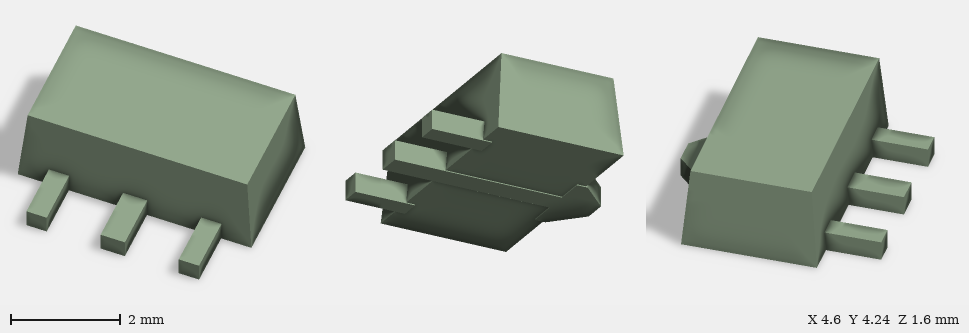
import cadquery as cq

total_depth = 4.24
total_height = 1.6

body_width = 4.6
body_depth = 2.58
body_top_inset = 0.14
standoff = 0.02
body_height = total_height - standoff

metal_thickness = 0.39
lead_pitch = 1.5
side_lead_width = 0.4
centre_lead_width = 0.48
lead_length = 1.045
lead_embed = 0.185

tab_width = 1.655
tab_tip_width = centre_lead_width
tab_length = total_depth - body_depth - lead_length
tab_straight_length = 0.03

body_front = -body_depth / 2
body_back = body_depth / 2


def make_body():
    """Body block whose four sides lean inward towards the top."""
    return (
        cq.Workplane("XY", origin=(0, 0, standoff))
        .rect(body_width, body_depth)
        .workplane(offset=body_height)
        .rect(body_width - 2 * body_top_inset, body_depth - 2 * body_top_inset)
        .loft(ruled=True)
    )


def make_lead(x, width, inner_end):
    """Straight lead from its free tip to an end under the body."""
    tip = body_front - lead_length
    length = inner_end - tip
    return (
        cq.Workplane("XY", origin=(x, tip + length / 2, 0))
        .rect(width, length)
        .extrude(metal_thickness)
    )


def make_tab():
    """Heat tab behind the body, tapering to a narrow tip."""
    root = body_back - lead_embed
    shoulder = body_back + tab_straight_length
    tip = body_back + tab_length
    return (
        cq.Workplane("XY")
        .moveTo(-tab_width / 2, root)
        .lineTo(tab_width / 2, root)
        .lineTo(tab_width / 2, shoulder)
        .lineTo(tab_tip_width / 2, tip)
        .lineTo(-tab_tip_width / 2, tip)
        .lineTo(-tab_width / 2, shoulder)
        .close()
        .extrude(metal_thickness)
    )


result = make_body().union(make_tab())
result = result.union(make_lead(0, centre_lead_width, body_back))
for x in (-lead_pitch, lead_pitch):
    result = result.union(make_lead(x, side_lead_width, body_front + lead_embed))